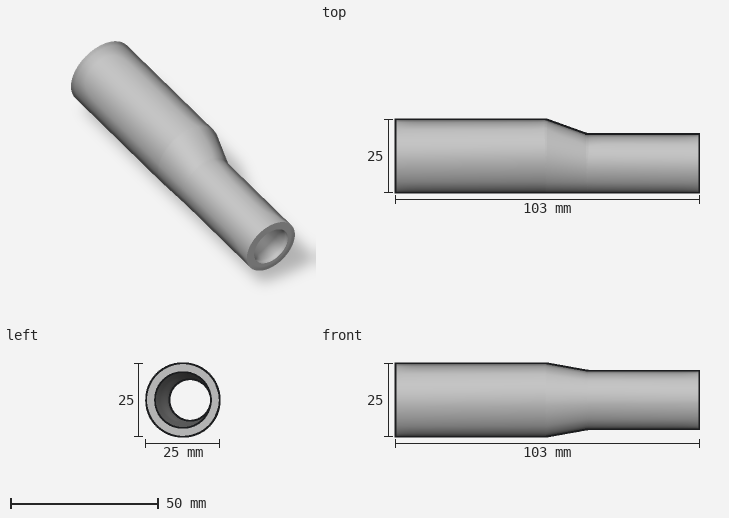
import cadquery as cq
import math

total_length = 103.0
large_diameter = 25.0
large_bore = 19.0
small_diameter = 20.0
small_bore = 14.0
taper_start = 51.0
taper_end = 65.0
bend_radius = 2.8
bend_least_setback = 0.1
section_points = 36

large_radius = large_diameter / 2
small_radius = small_diameter / 2
taper_length = taper_end - taper_start
radius_slope = (small_radius - large_radius) / taper_length

half_turn = math.atan(-2 * radius_slope) / 2
bend_setback = bend_radius * math.tan(half_turn)
bend_depth = bend_radius * (1 / math.cos(half_turn) - 1)


def tilted_section(x_seam, setback, radius, slope=0.0):
    """Plane cut through a tube whose circles all touch the -Y wall line.

    The tube has the given radius at x_seam and changes by slope per unit of X.
    The cut leans from x_seam at the wall line to about x_seam + setback at +Y.
    """
    lean = setback / (2 * radius)
    points = []
    for i in range(section_points):
        angle = 2 * math.pi * i / section_points
        height = 1 - math.cos(angle)
        local_radius = radius / (1 - slope * lean * height)
        points.append(
            cq.Vector(
                x_seam + lean * local_radius * height,
                local_radius * height - large_radius,
                local_radius * math.sin(angle),
            )
        )
    edge = cq.Edge.makeSpline(points, periodic=True)
    return cq.Wire.assembleEdges([edge])


def bend_sections(x, radius, depth, slope_before, slope_after):
    """Start, middle and end sections of the rounded bend at x."""
    gap = bend_least_setback
    lean = bend_setback - gap
    return [
        tilted_section(x - gap, -lean, radius - gap * slope_before, slope_before),
        tilted_section(x, 0, radius + depth / 2),
        tilted_section(x + gap, lean, radius + gap * slope_after, slope_after),
    ]


def outer_body():
    """Large pipe, bend, taper, bend and small pipe as one filled solid."""
    first_bend = bend_sections(taper_start, large_radius, -bend_depth, 0, radius_slope)
    second_bend = bend_sections(taper_end, small_radius, bend_depth, radius_slope, 0)
    large_end = tilted_section(0, 0, large_radius)
    small_end = tilted_section(total_length, 0, small_radius)
    pieces = [
        cq.Solid.makeLoft([large_end, first_bend[0]], True),
        cq.Solid.makeLoft(first_bend, False),
        cq.Solid.makeLoft([first_bend[-1], second_bend[0]], True),
        cq.Solid.makeLoft(second_bend, False),
        cq.Solid.makeLoft([second_bend[-1], small_end], True),
    ]
    body = cq.Workplane(pieces[0])
    for piece in pieces[1:]:
        body = body.union(cq.Workplane(piece))
    return body


def bore():
    """Large bore, eccentric taper and small bore, sharp at both changes."""
    offset = (small_bore - large_bore) / 2
    large_part = cq.Workplane("YZ").circle(large_bore / 2).extrude(taper_start)
    taper = (
        cq.Workplane("YZ", origin=(taper_start, 0, 0))
        .circle(large_bore / 2)
        .workplane(offset=taper_length)
        .center(offset, 0)
        .circle(small_bore / 2)
        .loft(ruled=True)
    )
    small_part = (
        cq.Workplane("YZ", origin=(taper_end, offset, 0))
        .circle(small_bore / 2)
        .extrude(total_length - taper_end)
    )
    return large_part.union(taper).union(small_part)


result = outer_body().cut(bore())